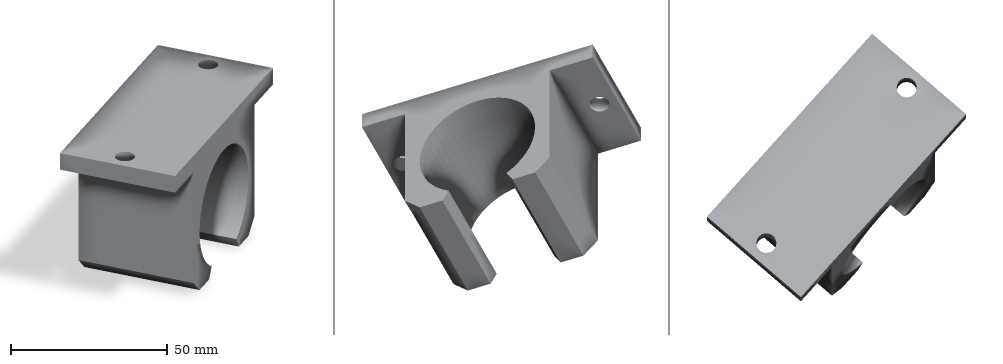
import cadquery as cq
import math

length_x = 40.0
plate_width = 80.0
plate_thickness = 6.0
total_height = 51.0

body_width = 50.0
corner_chamfer = 5.0
bore_diameter = 40.0
bore_center_depth = 30.0
mouth_half_angle = 30.0

hole_diameter = 6.4
hole_edge_distance = 6.0

top_z = bore_center_depth
bottom_z = top_z - total_height


def make_plate():
    return (
        cq.Workplane("XY")
        .box(length_x, plate_width, plate_thickness, centered=(True, True, False))
        .translate((0, 0, top_z - plate_thickness))
    )


def make_body():
    return (
        cq.Workplane("XY")
        .box(length_x, body_width, total_height, centered=(True, True, False))
        .translate((0, 0, bottom_z))
        .edges("|X and <Z")
        .chamfer(corner_chamfer)
    )


def make_bore():
    return cq.Workplane("YZ").circle(bore_diameter / 2).extrude(length_x / 2, both=True)


def make_mouth():
    """Wedge from the bore axis to the bottom face, flaring downwards."""
    half_width = -bottom_z * math.tan(math.radians(mouth_half_angle))
    return (
        cq.Workplane("YZ")
        .polyline([(0, 0), (half_width, bottom_z), (-half_width, bottom_z)])
        .close()
        .extrude(length_x / 2, both=True)
    )


def make_mounting_holes():
    hole_y = plate_width / 2 - hole_edge_distance
    return (
        cq.Workplane("XY", origin=(0, 0, top_z))
        .pushPoints([(0, -hole_y), (0, hole_y)])
        .circle(hole_diameter / 2)
        .extrude(-plate_thickness)
    )


result = (
    make_plate()
    .union(make_body())
    .cut(make_bore())
    .cut(make_mouth())
    .cut(make_mounting_holes())
)